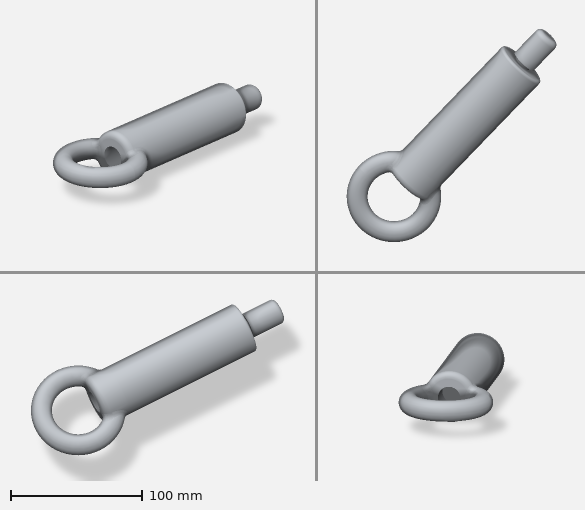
import cadquery as cq

total_length = 210.0
body_diameter = 40.0
ring_diameter = 72.0
ring_wire_diameter = 16.0
nut_face_height = 50.2
nut_length = 19.7
nut_edge_radius = 5.0
nut_bore_diameter = 17.5
ring_blend_radius = 5.0
bar_length = 110.0
bar_edge_radius = 2.0
neck_diameter = 13.6
neck_length = 2.3
stud_diameter = 20.0
stud_tip_radius = 4.0

ring_bottom = -ring_diameter / 2
ring_center_radius = (ring_diameter - ring_wire_diameter) / 2
nut_bottom = ring_bottom + nut_face_height
nut_top = nut_bottom + nut_length
bar_top = nut_top + bar_length
stud_bottom = bar_top + neck_length
stud_top = ring_bottom + total_length


def cylinder(diameter, start, end):
    """Solid cylinder along the Y axis between two Y positions."""
    return cq.Workplane("XZ", origin=(0, start, 0)).circle(diameter / 2).extrude(start - end)


def make_ring():
    """Full round-wire ring lying in the XY plane, trimmed at the nut's upper face."""
    ring = cq.Workplane(cq.Solid.makeTorus(ring_center_radius, ring_wire_diameter / 2))
    keep_size = 2 * ring_diameter
    keep_below = cq.Workplane().box(keep_size, keep_size, keep_size).translate((0, nut_top - keep_size / 2, 0))
    return ring.intersect(keep_below)


def is_on_ring_surface(point):
    """Whether a point lies on the surface of the ring's wire."""
    surface_tolerance = 0.02
    radial_offset = (point.x**2 + point.y**2) ** 0.5 - ring_center_radius
    wire_distance = (radial_offset**2 + point.z**2) ** 0.5
    return abs(wire_distance - ring_wire_diameter / 2) < surface_tolerance


def make_eye_nut():
    """Round nut with a rounded lower edge, blended into its ring and bored through."""
    nut = cylinder(body_diameter, nut_bottom, nut_top).faces("<Y").edges().fillet(nut_edge_radius)
    eye = nut.union(make_ring())
    seams = [
        edge for edge in eye.edges().vals()
        if edge.geomType() == "BSPLINE" and is_on_ring_surface(edge.positionAt(0.5))
    ]
    eye = eye.newObject(seams).fillet(ring_blend_radius)
    return eye.cut(cylinder(nut_bore_diameter, nut_bottom, nut_top))


def make_bar():
    """Bar with a rounded shoulder, an undercut neck and a round-tipped stud."""
    bar = cylinder(body_diameter, nut_top, bar_top).faces(">Y").edges().fillet(bar_edge_radius)
    neck = cylinder(neck_diameter, bar_top, stud_bottom)
    stud = cylinder(stud_diameter, stud_bottom, stud_top).faces(">Y").edges().fillet(stud_tip_radius)
    return bar.union(neck).union(stud)


eye_nut = make_eye_nut()
bar = make_bar()
result = cq.Compound.makeCompound([eye_nut.val(), bar.val()])